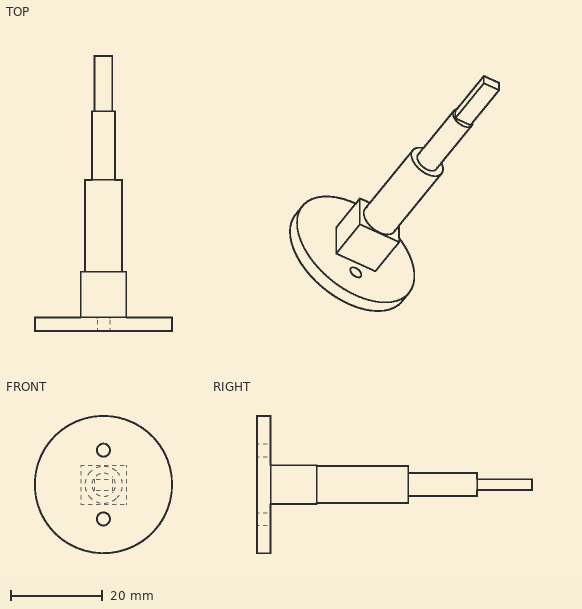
import cadquery as cq

flange_thickness = 3.0
block_length = 10.0
shaft_length = 20.0
journal_length = 15.0
tang_length = 12.0

flange_diameter = 30.0
block_width = 10.0
block_height = 8.5
shaft_diameter = 8.1
journal_diameter = 5.1
tang_width = 3.9
tang_height = 2.4

hole_diameter = 2.8
hole_spacing = 15.0

block_start = flange_thickness
shaft_start = block_start + block_length
journal_start = shaft_start + shaft_length
tang_start = journal_start + journal_length


def section_plane(start):
    """Plane across the axis at Y = start, with X along X and its normal along +Y."""
    return cq.Workplane(cq.Plane(origin=(0, start, 0), xDir=(1, 0, 0), normal=(0, 1, 0)))


def round_section(start, length, diameter):
    return section_plane(start).circle(diameter / 2).extrude(length)


def rectangular_section(start, length, width, height):
    return section_plane(start).rect(width, height).extrude(length)


def drilled_flange():
    flange = round_section(0, flange_thickness, flange_diameter)
    hole = round_section(0, flange_thickness, hole_diameter)
    for side in (-1, 1):
        flange = flange.cut(hole.translate((0, 0, side * hole_spacing / 2)))
    return flange


result = (
    drilled_flange()
    .union(rectangular_section(block_start, block_length, block_width, block_height))
    .union(round_section(shaft_start, shaft_length, shaft_diameter))
    .union(round_section(journal_start, journal_length, journal_diameter))
    .union(rectangular_section(tang_start, tang_length, tang_width, tang_height))
)